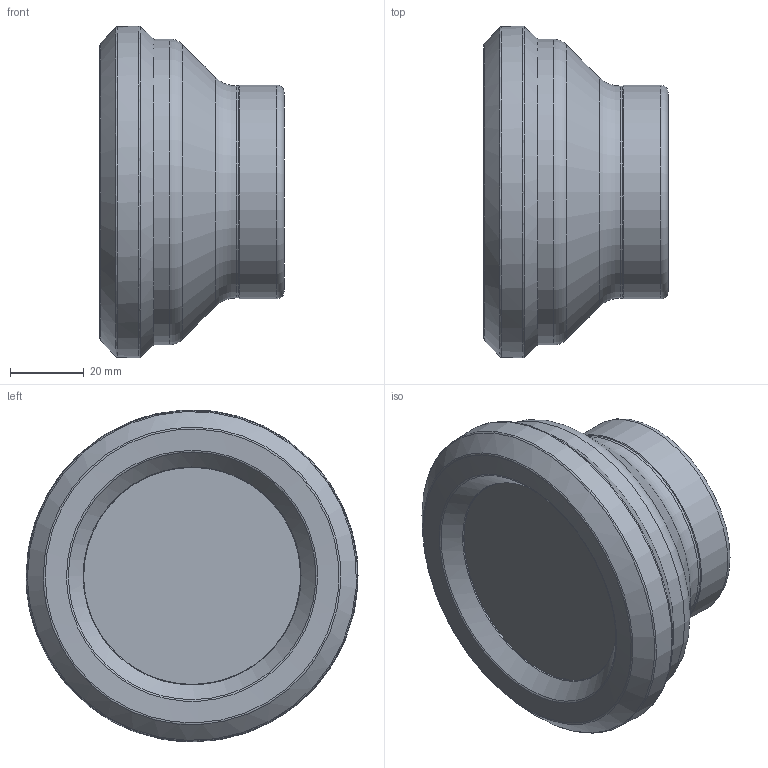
import cadquery as cq
import math

ring_width = 15.5
ring_tilt = 2.0
ring_edge_radius = 0.7
ring_center_x = 7.85
ring_center_radius = 37.25
ring_sides = 8
ring_corner_step = 360 / ring_sides
ring_corner_distance = ring_width / 2 / math.cos(math.pi / ring_sides)

half_turn = math.radians(45 / 2)

total_length = 49.99
head_radius = 83 / 2
neck_radius = 57.6 / 2
stub_radius = 58 / 2
front_face = 5.0
cone_start = 20.95
cone_end = cone_start + head_radius - neck_radius
shoulder_blend_radius = 5.0
neck_blend_radius = 8.0
stub_start = 37.87
stub_step = stub_radius - neck_radius
stub_end_radius = 2.0


def revolve_about_x(profile):
    return profile.revolve(360, (0, 0, 0), (1, 0, 0))


def make_ring():
    """Eight-sided ring whose section leans slightly, so its outer side widens towards +X."""
    corner_angles = [ring_tilt + ring_corner_step * (index + 0.5) for index in range(ring_sides)]
    corners = [
        (
            ring_center_x + ring_corner_distance * math.cos(math.radians(angle)),
            ring_center_radius + ring_corner_distance * math.sin(math.radians(angle)),
        )
        for angle in corner_angles
    ]
    profile = cq.Workplane("XY").polyline(corners).close()
    return revolve_about_x(profile).edges().fillet(ring_edge_radius)


def blend_setback(radius):
    """Distance from a 45 degree corner to the ends of its blend arc."""
    return radius * math.tan(half_turn)


def blend_middle(corner_x, corner_radius, radius, side):
    """Midpoint of the arc that blends a 45 degree corner; side is -1 towards the axis, 1 away."""
    distance = radius / math.cos(half_turn) - radius
    return (
        corner_x + side * distance * math.sin(half_turn),
        corner_radius + side * distance * math.cos(half_turn),
    )


def make_body(ring):
    """Turned knob, with the ring's seat cut out of its head."""
    shoulder = blend_setback(shoulder_blend_radius)
    neck = blend_setback(neck_blend_radius)
    slope = math.cos(math.radians(45))
    profile = (
        cq.Workplane("XY")
        .moveTo(front_face, 0)
        .lineTo(front_face, ring_center_radius)
        .lineTo(ring_center_x, ring_center_radius)
        .lineTo(ring_center_x, head_radius)
        .lineTo(cone_start - shoulder, head_radius)
        .threePointArc(
            blend_middle(cone_start, head_radius, shoulder_blend_radius, -1),
            (cone_start + shoulder * slope, head_radius - shoulder * slope),
        )
        .lineTo(cone_end - neck * slope, neck_radius + neck * slope)
        .threePointArc(
            blend_middle(cone_end, neck_radius, neck_blend_radius, 1),
            (cone_end + neck, neck_radius),
        )
        .lineTo(stub_start - stub_step, neck_radius)
        .lineTo(stub_start, stub_radius)
        .lineTo(total_length, stub_radius)
        .lineTo(total_length, 0)
        .close()
    )
    turned = revolve_about_x(profile).faces(">X").edges().fillet(stub_end_radius)
    return turned.cut(ring)


ring = make_ring()
body = make_body(ring)
result = cq.Compound.makeCompound([*ring.solids().vals(), *body.solids().vals()])